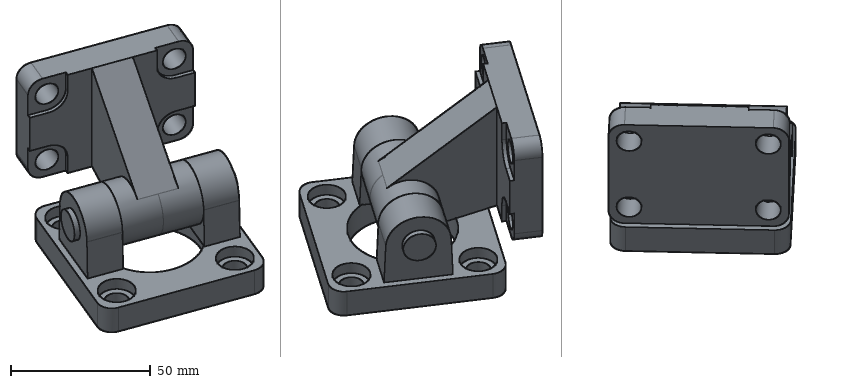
import cadquery as cq
import math

base_side = 65.0
base_thickness = 11.0
corner_radius = 5.7
window_diameter = 40.0
base_hole_spacing = 46.5
hole_diameter = 9.0
counterbore_diameter = 13.7
counterbore_depth = 4.65

axis_height = 27.0
hinge_diameter = 24.0
hinge_radius = hinge_diameter / 2
pin_diameter = 12.0
pin_length = 64.4
ear_gap = 31.9
ear_thickness = 14.0
ear_draft = math.radians(2.2)

overall_length = 77.5
overall_height = 67.5
flap_width = base_side
flap_height = 44.95
flap_thickness = 12.0
flap_outer_x = base_side / 2 - overall_length
flap_inner_x = flap_outer_x + flap_thickness
flap_bottom = overall_height - flap_height
flap_middle = overall_height - flap_height / 2
flap_hole_inset = 7.45
recess_depth = 1.6
recess_side = 2 * flap_hole_inset
arm_width = 16.1


def cylinder_along_y(diameter, length):
    """Cylinder on the hinge axis, centred on Y = 0."""
    return (
        cq.Workplane("XZ", origin=(0, 0, axis_height))
        .circle(diameter / 2)
        .extrude(length / 2, both=True)
    )


def hinge_point(angle):
    """Point (X, Z) of the hinge circle at an angle from +X."""
    return (hinge_radius * math.cos(angle), axis_height + hinge_radius * math.sin(angle))


def tangent_angle(x, z, side):
    """Angle on the hinge circle touched by a tangent from (x, z); side is +1 or -1."""
    rise = z - axis_height
    towards_point = math.atan2(rise, x)
    half_angle = math.acos(hinge_radius / math.hypot(x, rise))
    return towards_point + side * half_angle


def make_ear(inner_y):
    """Drafted ear with a round top; it reaches from inner_y towards +Y."""
    right_tangent = hinge_point(ear_draft)
    left_tangent = hinge_point(math.pi - ear_draft)
    foot_height = axis_height - base_thickness
    foot_half_width = hinge_radius / math.cos(ear_draft) + foot_height * math.tan(ear_draft)
    return (
        cq.Workplane("XZ", origin=(0, inner_y, 0))
        .moveTo(-foot_half_width, base_thickness)
        .lineTo(foot_half_width, base_thickness)
        .lineTo(*right_tangent)
        .threePointArc(hinge_point(math.pi / 2), left_tangent)
        .close()
        .extrude(-ear_thickness)
    )


def make_base():
    """Square plate with counterbored holes, a round window and two bored ears."""
    plate = (
        cq.Workplane("XY")
        .rect(base_side, base_side)
        .extrude(base_thickness)
        .edges("|Z")
        .fillet(corner_radius)
    )
    plate = (
        plate.faces(">Z")
        .workplane()
        .rect(base_hole_spacing, base_hole_spacing, forConstruction=True)
        .vertices()
        .cboreHole(hole_diameter, counterbore_diameter, counterbore_depth)
    )
    plate = plate.faces(">Z").workplane().hole(window_diameter)
    for inner_y in (ear_gap / 2, -ear_gap / 2 - ear_thickness):
        plate = plate.union(make_ear(inner_y))
    return plate.cut(cylinder_along_y(pin_diameter, pin_length))


def make_flap_plate():
    """Upright plate with four holes and a rounded recess at each inner corner."""
    plate = (
        cq.Workplane("YZ", origin=(flap_outer_x, 0, flap_middle))
        .rect(flap_width, flap_height)
        .extrude(flap_thickness)
        .edges("|X")
        .fillet(corner_radius)
    )
    recess_reach = 2 * recess_side
    recess_centers = [
        (y_side * (flap_width / 2), z_side * (flap_height / 2))
        for y_side in (-1, 1)
        for z_side in (-1, 1)
    ]
    recesses = (
        cq.Workplane("YZ", origin=(flap_inner_x - recess_depth, 0, flap_middle))
        .pushPoints(recess_centers)
        .rect(recess_reach, recess_reach)
        .extrude(recess_depth)
        .edges("|X")
        .fillet(flap_hole_inset)
    )
    holes = (
        cq.Workplane("YZ", origin=(flap_outer_x, 0, flap_middle))
        .rect(flap_width - recess_side, flap_height - recess_side, forConstruction=True)
        .vertices()
        .circle(hole_diameter / 2)
        .extrude(flap_thickness)
    )
    return plate.cut(recesses).cut(holes)


def make_arm():
    """Tapered arm, tangent to the barrel above and below and ending on its axis."""
    upper_tangent = hinge_point(tangent_angle(flap_inner_x, overall_height, -1))
    lower_tangent = hinge_point(tangent_angle(flap_inner_x, flap_bottom, 1))
    return (
        cq.Workplane("XZ")
        .moveTo(flap_inner_x, flap_bottom)
        .lineTo(flap_inner_x, overall_height)
        .lineTo(*upper_tangent)
        .lineTo(0, axis_height)
        .lineTo(*lower_tangent)
        .close()
        .extrude(arm_width / 2, both=True)
    )


def make_flap():
    """Flap plate, arm, barrel between the ears and the pin that turns in the ears."""
    return (
        make_flap_plate()
        .union(make_arm())
        .union(cylinder_along_y(hinge_diameter, ear_gap))
        .union(cylinder_along_y(pin_diameter, pin_length))
    )


base = make_base()
flap = make_flap()
result = cq.Compound.makeCompound([base.solids().val(), flap.solids().val()])